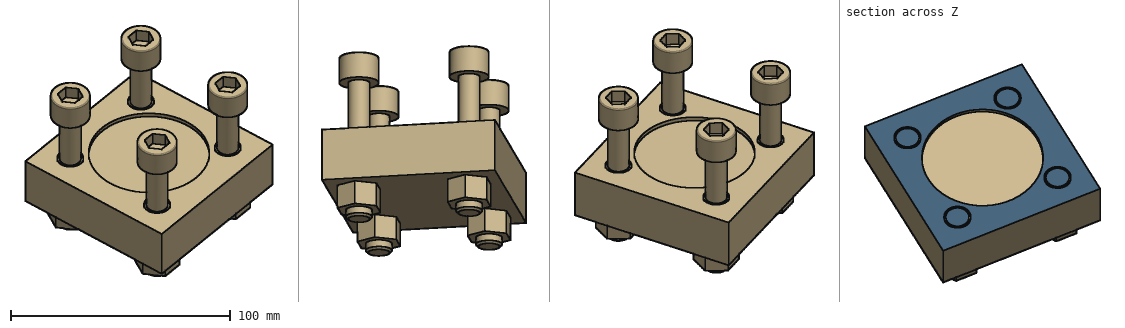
import cadquery as cq
import math

PLATE_SIDE = 80.0
PLATE_THICKNESS = 24.0
POCKET_DIAMETER = 55.0
POCKET_DEPTH = 2.0

BOLT_CIRCLE_DIAMETER = 72.0
BOLT_SPACING = BOLT_CIRCLE_DIAMETER / math.sqrt(2)

THREAD_DIAMETER = 12.0
SHANK_DIAMETER = 9.85
THREAD_CHAMFER = (THREAD_DIAMETER - SHANK_DIAMETER) / 2
BOLT_TIP_Z = -15.0
HEAD_TOP_Z = 62.0
HEAD_DIAMETER = 18.0
HEAD_HEIGHT = 12.0
HEAD_FILLET = 0.5
HEAD_BOTTOM_Z = HEAD_TOP_Z - HEAD_HEIGHT
SOCKET_WIDTH = 10.0
SOCKET_DEPTH = 6.0

NUT_WIDTH = 18.0
NUT_HEIGHT = 10.8


def hexagon_prism(width_across_flats, height, base_z):
    """Upright hexagonal prism with two of its corners on the Y direction."""
    corner_diameter = width_across_flats / math.cos(math.pi / 6)
    prism = cq.Workplane("XY").polygon(6, corner_diameter).extrude(height)
    return prism.rotate((0, 0, 0), (0, 0, 1), 90).translate((0, 0, base_z))


def cylinder(diameter, bottom_z, top_z):
    """Upright cylinder on the Z axis."""
    return cq.Workplane("XY").workplane(offset=bottom_z).circle(diameter / 2).extrude(top_z - bottom_z)


def make_plate():
    """Plate with the shallow pocket in its top and a close-fitting hole at each bolt."""
    plate = cq.Workplane("XY").box(PLATE_SIDE, PLATE_SIDE, PLATE_THICKNESS, centered=(True, True, False))
    plate = plate.cut(cylinder(POCKET_DIAMETER, PLATE_THICKNESS - POCKET_DEPTH, PLATE_THICKNESS))
    return plate.faces("<Z").workplane().rarray(BOLT_SPACING, BOLT_SPACING, 2, 2).hole(THREAD_DIAMETER)


def make_bolt():
    """Bolt and nut on the Z axis; the thread tapers to the shank at the top face of the plate."""
    thread = cylinder(THREAD_DIAMETER, BOLT_TIP_Z, PLATE_THICKNESS)
    thread = thread.faces("<Z or >Z").edges().chamfer(THREAD_CHAMFER)
    shank = cylinder(SHANK_DIAMETER, PLATE_THICKNESS, HEAD_BOTTOM_Z)
    head = cylinder(HEAD_DIAMETER, HEAD_BOTTOM_Z, HEAD_TOP_Z).faces(">Z").edges().fillet(HEAD_FILLET)
    head = head.cut(hexagon_prism(SOCKET_WIDTH, SOCKET_DEPTH, HEAD_TOP_Z - SOCKET_DEPTH))
    nut = hexagon_prism(NUT_WIDTH, NUT_HEIGHT, -NUT_HEIGHT)
    return thread.union(shank).union(head).union(nut)


result = make_plate()
bolt = make_bolt()
for side_x in (-1, 1):
    for side_y in (-1, 1):
        result = result.union(bolt.translate((side_x * BOLT_SPACING / 2, side_y * BOLT_SPACING / 2, 0)))